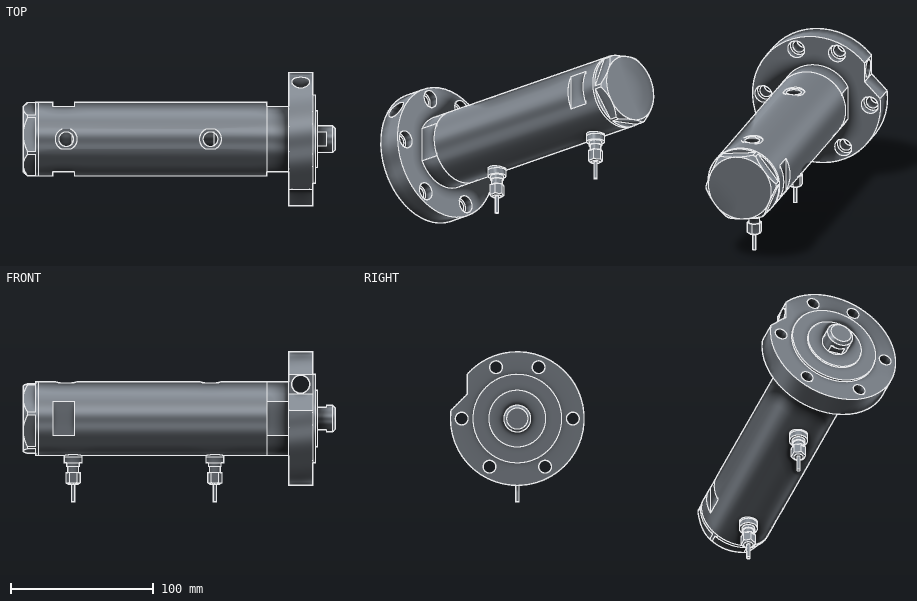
import cadquery as cq
import math


total_length = 219.0
hex_end_x = 8.8
cap_collar_end_x = 11.0
cap_spigot_end_x = 34.4
head_spigot_start_x = 134.0
tube_end_x = 171.0
flange_start_x = 186.2
flange_end_x = 203.3
pilot_end_x = 205.2
lip_end_x = 206.5
rod_flat_end_x = 212.7

tube_diameter = 52.0
bore_diameter = 30.2
rod_diameter = 18.8
flange_diameter = 94.0
pilot_diameter = 62.2
lip_diameter = 39.9

hex_across_flats = 46.0
hex_across_corners = 52.0
hex_face_diameter = 46.0
hex_bevel_length = 3.0
hex_flat_tilt = 22.0

wrench_across_flats = 46.0
wrench_flat_length = flange_start_x - tube_end_x
tube_flat_start_x = 20.8

port_xs = (30.2, 131.5)
port_diameter = 10.3
port_face_diameter = 15.3
port_face_z = 25.0

flange_thickness = flange_end_x - flange_start_x
flange_middle_x = (flange_start_x + flange_end_x) / 2
bolt_circle_diameter = 78.0
bolt_angles = (0.0, 67.5, 112.5, 180.0, 240.0, 300.0)
bolt_hole_diameter = 8.8
counterbore_diameter = 12.3
counterbore_depth = 6.5
notch_wall_y = -35.3
notch_floor_z = 17.0
cross_hole_diameter = 12.5
cross_hole_z = 24.0

rod_across_flats = 16.0
rod_bevel = 2.0

sensor_xs = (35.0, 134.5)
boss_bottom_z = -27.0
collar_bottom_z = -31.0
shoulder_bottom_z = -33.7
neck_bottom_z = -37.9
nut_bevel_z = -45.0
nut_bottom_z = -46.2
collar_diameter = 12.7
shoulder_diameter = 9.0
neck_diameter = 7.7
nut_across_corners = 10.3
nut_tip_diameter = 6.5
cable_diameter = 2.5
overall_height = 105.3
cable_bottom_z = flange_diameter / 2 - overall_height


def cylinder_x(start_x, end_x, diameter):
    """Cylinder on the main axis."""
    return cq.Workplane("YZ", origin=(start_x, 0, 0)).circle(diameter / 2).extrude(end_x - start_x)


def cylinder_z(x, start_z, end_z, diameter):
    """Upright cylinder whose axis crosses the main axis at x."""
    return cq.Workplane("XY", origin=(x, 0, start_z)).circle(diameter / 2).extrude(end_z - start_z)


def cut_flats(body, start_x, end_x, across_flats):
    """Cut two parallel flats, facing +Y and -Y, into a body no wider than the tube."""
    slab_depth = tube_diameter / 2
    slab = cq.Workplane("XY").box(end_x - start_x, slab_depth, tube_diameter)
    for side in (-1, 1):
        slab_y = side * (across_flats + slab_depth) / 2
        body = body.cut(slab.translate(((start_x + end_x) / 2, slab_y, 0)))
    return body


def make_tube():
    tube = cylinder_x(cap_collar_end_x, tube_end_x, tube_diameter)
    for x in sensor_xs:
        tube = tube.union(cylinder_z(x, boss_bottom_z, 0, collar_diameter))
    tube = tube.cut(cylinder_x(cap_collar_end_x, tube_end_x, bore_diameter))
    tube_flat_end_x = tube_flat_start_x + wrench_flat_length
    tube = cut_flats(tube, tube_flat_start_x, tube_flat_end_x, wrench_across_flats)
    for x in port_xs:
        tube = tube.cut(cylinder_z(x, 0, tube_diameter / 2, port_diameter))
        tube = tube.cut(cylinder_z(x, port_face_z, tube_diameter / 2, port_face_diameter))
    return tube


def make_cap():
    bevel_depth = (hex_across_corners - hex_face_diameter) / 2
    hexagon = (
        cq.Workplane("YZ")
        .polygon(6, hex_across_flats, circumscribed=True)
        .extrude(hex_end_x)
        .rotate((0, 0, 0), (1, 0, 0), hex_flat_tilt)
    )
    beveled_round = (
        cylinder_x(0, hex_end_x, hex_across_corners)
        .faces("<X")
        .chamfer(hex_bevel_length, bevel_depth)
    )
    cap = hexagon.intersect(beveled_round)
    cap = cap.union(cylinder_x(hex_end_x, cap_collar_end_x, tube_diameter))
    return cap.union(cylinder_x(cap_collar_end_x, cap_spigot_end_x, bore_diameter))


def cut_bolt_holes(head):
    bolt_circle_radius = bolt_circle_diameter / 2
    for angle in bolt_angles:
        y = bolt_circle_radius * math.cos(math.radians(angle))
        z = bolt_circle_radius * math.sin(math.radians(angle))
        seat = cq.Workplane("YZ", origin=(flange_start_x, y, z))
        head = head.cut(seat.circle(bolt_hole_diameter / 2).extrude(flange_thickness))
        head = head.cut(seat.circle(counterbore_diameter / 2).extrude(counterbore_depth))
    return head


def cut_notch(head):
    """Notch in the rim with an upright wall and a 45 degree ramp."""
    rim_radius = flange_diameter / 2
    ramp_run = rim_radius + notch_wall_y
    notch = (
        cq.Workplane("YZ", origin=(flange_start_x, 0, 0))
        .moveTo(notch_wall_y, rim_radius)
        .lineTo(notch_wall_y, notch_floor_z)
        .lineTo(-rim_radius, notch_floor_z - ramp_run)
        .lineTo(-rim_radius, rim_radius)
        .close()
        .extrude(flange_thickness)
    )
    return head.cut(notch)


def cut_cross_hole(head):
    hole = (
        cq.Workplane("XZ", origin=(flange_middle_x, 0, cross_hole_z))
        .circle(cross_hole_diameter / 2)
        .extrude(flange_diameter / 2, both=True)
    )
    return head.cut(hole)


def make_head():
    head = cylinder_x(head_spigot_start_x, tube_end_x, bore_diameter)
    head = head.union(cylinder_x(tube_end_x, flange_start_x, tube_diameter))
    head = cut_flats(head, tube_end_x, flange_start_x, wrench_across_flats)
    head = head.union(cylinder_x(flange_start_x, flange_end_x, flange_diameter))
    head = head.union(cylinder_x(flange_end_x, pilot_end_x, pilot_diameter))
    head = head.union(cylinder_x(pilot_end_x, lip_end_x, lip_diameter))
    head = head.cut(cylinder_x(head_spigot_start_x, lip_end_x, rod_diameter))
    head = cut_bolt_holes(head)
    head = cut_notch(head)
    return cut_cross_hole(head)


def make_rod():
    rod = cylinder_x(cap_spigot_end_x, total_length, rod_diameter).faces(">X").chamfer(rod_bevel)
    rod = cut_flats(rod, lip_end_x, rod_flat_end_x, rod_across_flats)
    return rod.rotate((0, 0, 0), (1, 0, 0), 90)


def make_sensor(x):
    """Stepped sensor with a hexagonal nut and a cable at its lower end."""
    bevel_height = nut_bevel_z - nut_bottom_z
    bevel_depth = (nut_across_corners - nut_tip_diameter) / 2
    nut = (
        cq.Workplane("XY", origin=(x, 0, nut_bottom_z))
        .polygon(6, nut_across_corners)
        .extrude(neck_bottom_z - nut_bottom_z)
    )
    beveled_round = (
        cylinder_z(x, nut_bottom_z, neck_bottom_z, nut_across_corners)
        .faces("<Z")
        .chamfer(bevel_height, bevel_depth)
    )
    sensor = cylinder_z(x, collar_bottom_z, boss_bottom_z, collar_diameter)
    sensor = sensor.union(cylinder_z(x, shoulder_bottom_z, collar_bottom_z, shoulder_diameter))
    sensor = sensor.union(cylinder_z(x, neck_bottom_z, shoulder_bottom_z, neck_diameter))
    sensor = sensor.union(nut.intersect(beveled_round))
    return sensor.union(cylinder_z(x, cable_bottom_z, nut_bottom_z, cable_diameter))


tube = make_tube()
cap = make_cap()
head = make_head()
rod = make_rod()
sensors = [make_sensor(x).val() for x in sensor_xs]

result = cq.Compound.makeCompound([tube.val(), cap.val(), head.val(), rod.val(), *sensors])